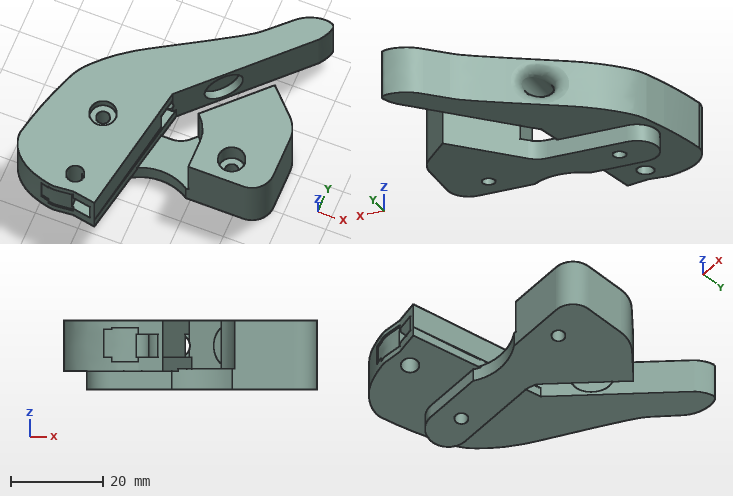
import cadquery as cq
import math

total_height = 15.0
lever_bottom = 4.0
lever_height = total_height - lever_bottom
lever_mid_z = lever_bottom + lever_height / 2
arm_top = 4.5
margin = 0.6
trim_width = 66.6

hole_y = 21.15
screw_diameter = 3.0
screw_head_diameter = 6.0
lever_screw_x = 14.95
lever_head_depth = 2.0
base_screw_x = 45.1
base_head_depth = 5.0
arm_hole_x = 14.0

base_right = 55.0
base_front = 15.9
arm_radius = 5.0
arm_left = 4.9
arm_end_x = arm_left + arm_radius
arm_back = base_front + 2 * arm_radius
jaw_tip = (46.95, 41.6)
jaw_offset = jaw_tip[0] - jaw_tip[1]
corner_radius = 5.0
shoulder_radius = 7.5
jaw_root_radius = 5.45
scoop_start_x = 23.4
scoop_end_x = 36.5
scoop_rise = 1.95
block_left = 37.05
relief_jaw_x = 34.15
relief_straight_y = 22.5

front_corner = (21.5, 0.0)
front_bend = (16.15, 0.9)
left_point = (0.0, 9.95)
left_bend = (3.1, 21.8)
shoulder = (4.95, 26.95)
inner_corner = (27.8, 31.8)
tip_root = (51.4, 55.4)
edge_relief = 0.6

bore_diameter = 5.0
bore_x = 24.8
bore_start_y = 26.65
bore_rounding = 2.95
bore_spare = 3.0
mouth_y = 43.6
channel_height = 4.95
channel_bottom = lever_mid_z - channel_height / 2
channel_left = 15.75
channel_right = 20.2
channel_bend = (19.4, 23.9)
pivot_wall_radius = 3.65
pivot_wall_right = 18.4
pocket_diameter = 9.0
pocket_depth = 2.0
pocket_x = 35.75
front_hole_diameter = 4.0
front_hole_y = 5.1

recess_depth = 0.35
recess_left = 8.6
recess_step_x = 10.4
recess_narrow = (channel_bottom, 13.1)
recess_wide = (6.0, 13.4)


def vertical_cylinder(x, y, diameter, bottom, top):
    return cq.Workplane("XY", origin=(x, y, bottom)).circle(diameter / 2).extrude(top - bottom)


def box_between(low, high):
    size = [b - a for a, b in zip(low, high)]
    return cq.Workplane("XY").box(*size, centered=False).translate(low)


def arm_shape():
    """Flat arm with a round end, flaring into the jaw block."""
    diagonal = math.sqrt(0.5)
    root_trim = jaw_root_radius * math.tan(math.pi / 8)
    root_x = arm_back + jaw_offset
    root_center_y = arm_back + jaw_root_radius
    root_start = (root_x + root_trim * diagonal, arm_back + root_trim * diagonal)
    root_mid = (
        root_x - root_trim + jaw_root_radius * math.sin(math.pi / 8),
        root_center_y - jaw_root_radius * math.cos(math.pi / 8),
    )
    scoop_mid = ((scoop_start_x + scoop_end_x) / 2, base_front + scoop_rise)
    return (
        cq.Workplane("XY")
        .moveTo(arm_end_x, base_front)
        .lineTo(scoop_start_x, base_front)
        .threePointArc(scoop_mid, (scoop_end_x, base_front))
        .lineTo(base_right, base_front)
        .lineTo(base_right, sum(jaw_tip) - base_right)
        .lineTo(*jaw_tip)
        .lineTo(*root_start)
        .threePointArc(root_mid, (root_x - root_trim, arm_back))
        .lineTo(arm_end_x, arm_back)
        .threePointArc((arm_left, base_front + arm_radius), (arm_end_x, base_front))
        .close()
    )


def relief_above_arm():
    """Space above the arm, bounded by the concave wall of the jaw block."""
    wall_top_y = relief_jaw_x - jaw_offset
    run = block_left - relief_jaw_x
    rise = wall_top_y - relief_straight_y
    radius = (run**2 + rise**2) / (2 * run)
    half_angle = math.asin(rise / radius) / 2
    center_x = block_left - radius
    wall_mid = (
        center_x + radius * math.cos(half_angle),
        relief_straight_y + radius * math.sin(half_angle),
    )
    return (
        cq.Workplane("XY", origin=(0, 0, arm_top))
        .moveTo(0, 0)
        .lineTo(block_left, 0)
        .lineTo(block_left, relief_straight_y)
        .threePointArc(wall_mid, (relief_jaw_x, wall_top_y))
        .lineTo(0, wall_top_y)
        .close()
        .extrude(total_height)
    )


def make_base():
    body = arm_shape().extrude(total_height)
    near_corner = cq.selectors.NearestToPointSelector((base_right, base_front, total_height / 2))
    shoulder_y = sum(jaw_tip) - base_right
    far_corner = cq.selectors.NearestToPointSelector((base_right, shoulder_y, total_height / 2))
    body = body.edges(near_corner).fillet(corner_radius)
    body = body.edges(far_corner).fillet(shoulder_radius)
    body = body.cut(relief_above_arm())
    body = body.cut(vertical_cylinder(arm_hole_x, hole_y, screw_diameter, 0, total_height))
    body = body.cut(vertical_cylinder(base_screw_x, hole_y, screw_diameter, 0, total_height))
    head_floor = total_height - base_head_depth
    return body.cut(
        vertical_cylinder(base_screw_x, hole_y, screw_head_diameter, head_floor, total_height)
    )


def lever_outline():
    back_curve = [(20.3, 40.9), (13.5, 36.5), (8.55, 32.1), shoulder]
    neck_start = (39.95, 53.35)
    neck_curve = [(35.1, 49.8), (29.7, 46.45)]
    tip_curve = [(53.2, 58.45), (53.2, 59.95), (52.2, 60.45), (49.95, 60.5), (46.95, 59.55), (44.45, 57.65)]
    left_bulge = (1.3, 15.6)
    heel_curve = [(0.7, 6.85), (5.1, 2.5), (10.9, 0.6), front_bend]
    return (
        cq.Workplane("XY")
        .moveTo(*front_corner)
        .lineTo(*inner_corner)
        .lineTo(*tip_root)
        .spline(tip_curve, includeCurrent=True)
        .lineTo(*neck_start)
        .spline(neck_curve, tangents=[(-1, -1), (-1.7, -1)], includeCurrent=True)
        .lineTo(*back_curve[0])
        .spline(back_curve[1:], tangents=[(-1.7, -1), (-1, -2.5)], includeCurrent=True)
        .lineTo(*left_bend)
        .threePointArc(left_bulge, left_point)
        .spline(heel_curve, tangents=[(0, -1), (1, 0.1)], includeCurrent=True)
        .close()
    )


def lever_blank():
    """Lever plate with the rounded cord bore; the bore is rounded on a thicker plate, then trimmed."""
    plate = lever_outline().extrude(lever_height + 2 * bore_spare).translate((0, 0, lever_bottom - bore_spare))
    bore = (
        cq.Workplane("XZ", origin=(bore_x, bore_start_y, lever_mid_z))
        .circle(bore_diameter / 2)
        .extrude(bore_start_y - trim_width)
    )
    plate = plate.cut(bore)
    mouth = cq.selectors.NearestToPointSelector((bore_x, mouth_y, lever_mid_z))
    plate = plate.edges(mouth).fillet(bore_rounding)
    slab = box_between((-margin, -margin, lever_bottom), (trim_width, trim_width, total_height))
    return plate.intersect(slab)


def on_pivot_wall(x):
    """Point at x on the front half of the round wall around the lever screw."""
    return (x, hole_y - math.sqrt(pivot_wall_radius**2 - (x - lever_screw_x)**2))


def channel():
    """Inner passage from the lever's front up to the cord bore, opening at the side near the bore."""
    slope = (inner_corner[0] - front_corner[0]) / (inner_corner[1] - front_corner[1])
    bore_left = bore_x - bore_diameter / 2
    wall_end_x = channel_right + slope * bore_start_y
    pivot_wall_mid = (channel_left + pivot_wall_right) / 2
    passage_end_y = inner_corner[1] - edge_relief
    return (
        cq.Workplane("XY", origin=(0, 0, channel_bottom))
        .moveTo(channel_left, -margin)
        .lineTo(channel_right, -margin)
        .lineTo(wall_end_x, bore_start_y)
        .lineTo(inner_corner[0], bore_start_y)
        .lineTo(inner_corner[0], passage_end_y)
        .lineTo(bore_left, passage_end_y)
        .lineTo(bore_left, bore_start_y)
        .threePointArc(channel_bend, on_pivot_wall(pivot_wall_right))
        .threePointArc(on_pivot_wall(pivot_wall_mid), on_pivot_wall(channel_left))
        .close()
        .extrude(channel_height)
    )


def upper_side_relief():
    """Thin wedge that sets the side face back above the lower plate."""
    relieved_corner = (inner_corner[0] - edge_relief, inner_corner[1] - edge_relief)
    return (
        cq.Workplane("XY", origin=(0, 0, channel_bottom))
        .polyline([front_corner, inner_corner, relieved_corner])
        .close()
        .extrude(total_height)
    )


def jaw_pocket():
    """Round pocket square to the 45 degree handle face."""
    pocket_y = pocket_x + inner_corner[1] - inner_corner[0]
    face = cq.Plane(origin=(pocket_x, pocket_y, lever_mid_z), xDir=(0, 0, 1), normal=(-1, 1, 0))
    return cq.Workplane(face).circle(pocket_diameter / 2).extrude(pocket_depth)


def front_recess():
    """Skin of constant depth along the front curve, in a narrow and a wide step."""
    reach = left_point[1] / 2
    narrow = box_between((recess_left, -margin, recess_narrow[0]), (recess_step_x, reach, recess_narrow[1]))
    wide = box_between((recess_step_x, -margin, recess_wide[0]), (front_bend[0], reach, recess_wide[1]))
    core = lever_outline().extrude(total_height).translate((0, recess_depth, 0))
    return narrow.union(wide).cut(core)


def make_lever():
    body = lever_blank()
    body = body.cut(channel())
    body = body.cut(upper_side_relief())
    body = body.cut(jaw_pocket())
    body = body.cut(front_recess())
    body = body.cut(vertical_cylinder(lever_screw_x, hole_y, screw_diameter, 0, total_height))
    head_floor = total_height - lever_head_depth
    body = body.cut(
        vertical_cylinder(lever_screw_x, hole_y, screw_head_diameter, head_floor, total_height)
    )
    body = body.cut(
        vertical_cylinder(lever_screw_x, front_hole_y, front_hole_diameter, 0, total_height)
    )
    return body.cut(arm_shape().extrude(arm_top))


base = make_base()
lever = make_lever()
result = cq.Compound.makeCompound([base.solids().val(), lever.solids().val()])